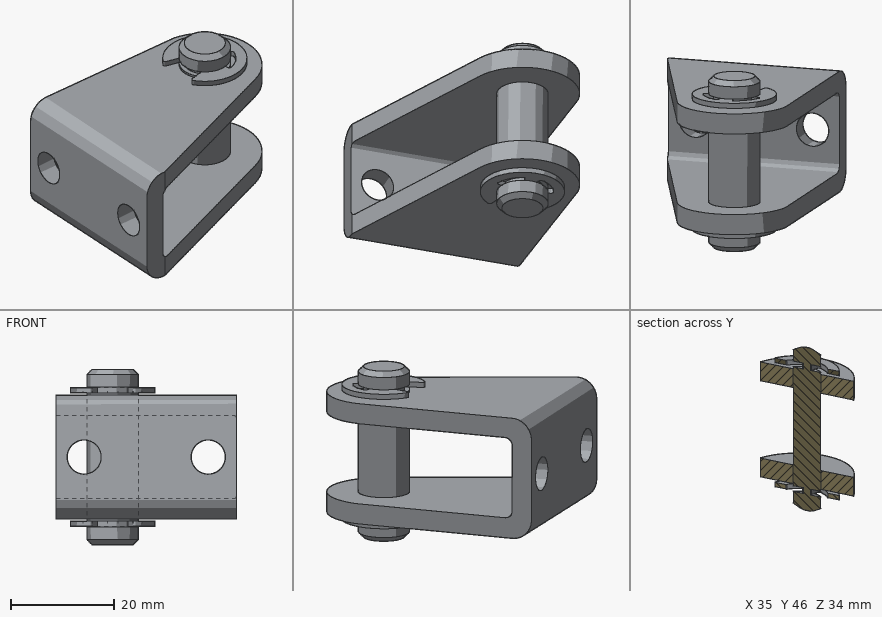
import cadquery as cq
import math

bracket_width = 35.0
bracket_length = 46.0
bracket_height = 24.0
sheet_thickness = 4.0
outer_bend_radius = 4.0
inner_bend_radius = 1.5
nose_radius = 11.1
short_edge_length = 4.5
mount_hole_diameter = 6.6
mount_hole_spacing = 24.0

pin_diameter = 10.0
pin_length = 34.0
pin_chamfer = 1.0
pin_x = 11.0
pin_y = bracket_length - nose_radius
groove_diameter = 8.0
groove_width = 1.1

clip_thickness = 1.0
clip_gap = 0.4
clip_diameter = 16.35
clip_tip_fillet = 0.45
mouth_half_width_at_center = 2.3
mouth_slope = 0.25
relief_radius = 6.03
relief_start_angle = 14.0
relief_end_angle = 75.0
relief_fillet = 0.45

clip_base_z = bracket_height / 2 + clip_gap


def cylinder(diameter, height):
    """Cylinder on the Z axis, centered on Z = 0."""
    return cq.Workplane("XY").workplane(offset=-height / 2).circle(diameter / 2).extrude(height)


def tangent_point(corner_x, corner_y):
    """Point where the line from the corner touches the +X side of the nose arc."""
    dx = corner_x - pin_x
    dy = corner_y - pin_y
    angle = math.atan2(dy, dx) + math.acos(nose_radius / math.hypot(dx, dy))
    return pin_x + nose_radius * math.cos(angle), pin_y + nose_radius * math.sin(angle)


def make_bracket():
    sheet = (
        cq.Workplane("XY")
        .box(bracket_width, bracket_length, bracket_height, centered=(False, False, True))
        .edges("|X and <Y")
        .fillet(outer_bend_radius)
    )
    inside = (
        cq.Workplane("XY")
        .box(
            bracket_width,
            bracket_length,
            bracket_height - 2 * sheet_thickness,
            centered=(False, False, True),
        )
        .edges("|X and <Y")
        .fillet(inner_bend_radius)
        .translate((0, sheet_thickness, 0))
    )

    nose_start_y = pin_y + math.sqrt(nose_radius**2 - pin_x**2)
    outline = (
        cq.Workplane("XY")
        .workplane(offset=-bracket_height / 2)
        .moveTo(0, 0)
        .lineTo(0, nose_start_y)
        .threePointArc((pin_x, bracket_length), tangent_point(bracket_width, short_edge_length))
        .lineTo(bracket_width, short_edge_length)
        .lineTo(bracket_width, 0)
        .close()
        .extrude(bracket_height)
    )

    pin_hole = cylinder(pin_diameter, bracket_height).translate((pin_x, pin_y, 0))
    mount_holes = (
        cq.Workplane("XZ")
        .pushPoints([
            ((bracket_width - mount_hole_spacing) / 2, 0),
            ((bracket_width + mount_hole_spacing) / 2, 0),
        ])
        .circle(mount_hole_diameter / 2)
        .extrude(-sheet_thickness)
    )
    return sheet.cut(inside).intersect(outline).cut(pin_hole).cut(mount_holes)


def make_pin():
    pin = cylinder(pin_diameter, pin_length).faces("<Z or >Z").chamfer(pin_chamfer)
    groove = cylinder(pin_diameter, groove_width).cut(cylinder(groove_diameter, groove_width))
    groove_z = clip_base_z + groove_width / 2
    for side in (-1, 1):
        pin = pin.cut(groove.translate((0, 0, side * groove_z)))
    return pin.translate((pin_x, pin_y, 0))


def polar(radius, angle):
    """Point at a radius and an angle in degrees from the clip center."""
    return radius * math.cos(math.radians(angle)), radius * math.sin(math.radians(angle))


def make_relief():
    """Ring sector that frees the clip from the groove, with rounded outer corners."""
    root_radius = groove_diameter / 4
    bore_radius = groove_diameter / 2
    middle_angle = (relief_start_angle + relief_end_angle) / 2
    return (
        cq.Workplane("XY")
        .moveTo(*polar(root_radius, relief_start_angle))
        .lineTo(*polar(relief_radius, relief_start_angle))
        .threePointArc(polar(relief_radius, middle_angle), polar(relief_radius, relief_end_angle))
        .lineTo(*polar(root_radius, relief_end_angle))
        .close()
        .extrude(clip_thickness)
        .edges("|Z")
        .filter(lambda edge: math.hypot(edge.Center().x, edge.Center().y) > bore_radius)
        .fillet(relief_fillet)
    )


def make_clip():
    """Retaining clip that stands on Z = 0, with its mouth toward -Y."""
    clip_radius = clip_diameter / 2
    bore_radius = groove_diameter / 2
    mouth_half_width = mouth_half_width_at_center + mouth_slope * clip_radius
    mouth = (
        cq.Workplane("XY")
        .polyline([
            (-mouth_half_width_at_center, 0),
            (mouth_half_width_at_center, 0),
            (mouth_half_width, -clip_radius),
            (-mouth_half_width, -clip_radius),
        ])
        .close()
        .extrude(clip_thickness)
    )
    clip = (
        cq.Workplane("XY")
        .circle(clip_radius)
        .extrude(clip_thickness)
        .cut(mouth)
        .edges("|Z")
        .filter(lambda edge: edge.Center().y < -bore_radius)
        .fillet(clip_tip_fillet)
        .cut(cq.Workplane("XY").circle(bore_radius).extrude(clip_thickness))
    )
    relief = make_relief()
    return clip.cut(relief).cut(relief.mirror("YZ"))


bracket = make_bracket()
pin = make_pin()
upper_clip = make_clip().translate((pin_x, pin_y, clip_base_z))
clips = [upper_clip, upper_clip.mirror("XY")]

result = cq.Compound.makeCompound([
    bracket.val(),
    pin.val(),
    *[clip.val() for clip in clips],
])